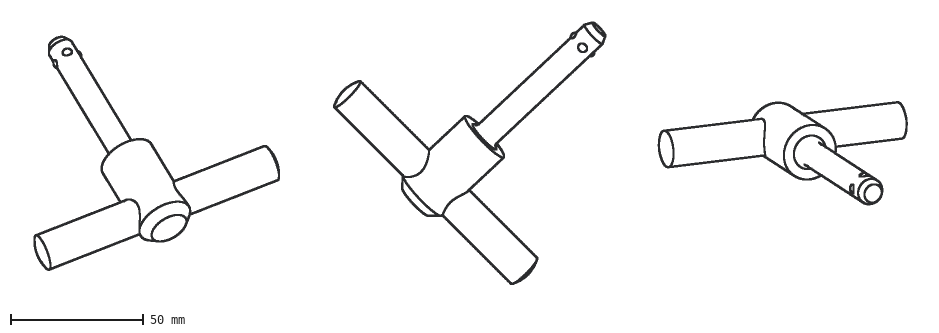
import cadquery as cq

overall_length = 96.7

pin_radius = 5.0
tip_radius = 3.6
tip_length = 2.8
root_fillet = 1.6

ball_count = 4
ball_radius = 2.1
ball_reach = 5.7
ball_x = 8.6

housing_diameter = 21.5
housing_radius = housing_diameter / 2
housing_length = 36.4
bevel_length = 3.7
bevel_depth = 3.4
housing_start = overall_length - housing_length

handle_radius = 7.0
handle_length = 99.8
dome_height = 1.8
handle_x = overall_length - bevel_length - handle_radius


def make_ball(angle):
    """One locking ball, turned by the angle about the pin axis."""
    ball = cq.Workplane("XY").sphere(ball_radius)
    ball = ball.translate((ball_x, 0, ball_reach - ball_radius))
    return ball.rotate((0, 0, 0), (1, 0, 0), angle)


def make_pin():
    """Tapered pin that flares out to rest on the housing face, with its locking balls."""
    fillet_start = housing_start - root_fillet
    flare_radius = pin_radius + root_fillet
    diagonal = root_fillet * 0.5 ** 0.5
    pin = (
        cq.Workplane("XY")
        .lineTo(0, tip_radius)
        .lineTo(tip_length, pin_radius)
        .lineTo(fillet_start, pin_radius)
        .threePointArc(
            (fillet_start + diagonal, flare_radius - diagonal),
            (housing_start, flare_radius),
        )
        .lineTo(housing_start, 0)
        .close()
        .revolve(360, (0, 0, 0), (1, 0, 0))
    )
    for index in range(ball_count):
        pin = pin.union(make_ball(index * 360 / ball_count))
    return pin


def make_handle():
    """Round cross bar with a shallow dome on each end."""
    half_length = handle_length / 2
    shoulder = half_length - dome_height
    dome_radius = (handle_radius**2 + dome_height**2) / (2 * dome_height)
    dome_center = half_length - dome_radius
    middle_x = handle_radius / 2
    middle_y = dome_center + (dome_radius**2 - middle_x**2) ** 0.5
    bar = (
        cq.Workplane("XY")
        .moveTo(0, -half_length)
        .threePointArc((middle_x, -middle_y), (handle_radius, -shoulder))
        .lineTo(handle_radius, shoulder)
        .threePointArc((middle_x, middle_y), (0, half_length))
        .close()
        .revolve(360, (0, 0, 0), (0, 1, 0))
    )
    return bar.translate((handle_x, 0, 0))


def make_housing(handle):
    """Round housing with a bevelled back end and a cross hole that fits the handle."""
    body = (
        cq.Workplane("XY")
        .moveTo(housing_start, 0)
        .lineTo(housing_start, housing_radius)
        .lineTo(overall_length - bevel_length, housing_radius)
        .lineTo(overall_length, housing_radius - bevel_depth)
        .lineTo(overall_length, 0)
        .close()
        .revolve(360, (0, 0, 0), (1, 0, 0))
    )
    return body.cut(handle)


pin = make_pin()
handle = make_handle()
housing = make_housing(handle)

result = cq.Compound.makeCompound([pin.val(), handle.val(), housing.val()])